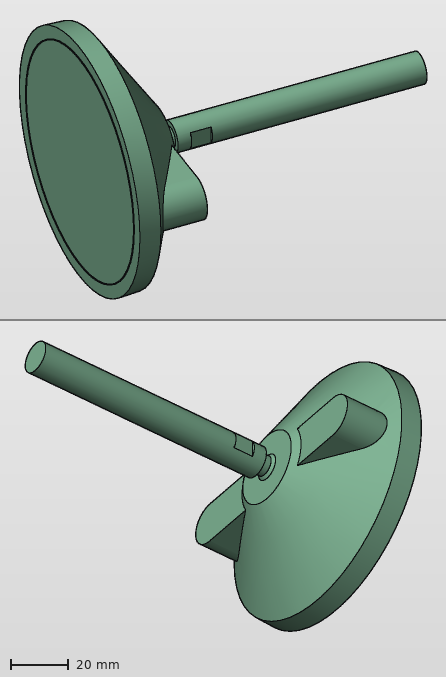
import cadquery as cq
import math

overall_length = 130.0

base_diameter = 98.0
rim_top_diameter = 97.2
rim_height = 8.2
cone_top_diameter = 28.1
base_height = 30.2

pad_diameter = 87.5
pad_groove_diameter = 88.0
pad_groove_depth = 0.3

lug_span = 88.0
lug_width = 16.6
lug_top = 28.2

ball_diameter = 12.5
ball_center = 26.4
neck_diameter = 7.8
stud_diameter = 12.0
stud_start = 34.8

flats_start = 40.0
flats_length = 7.9
across_flats = 9.9


def ball_point(angle):
    """Radius and height of the ball surface at an angle above its equator."""
    ball_radius = ball_diameter / 2
    return ball_radius * math.cos(angle), ball_center + ball_radius * math.sin(angle)


def make_turned_body():
    """Revolve the base, ball cap, neck and stud about the Y axis."""
    start_angle = math.asin((base_height - ball_center) / (ball_diameter / 2))
    end_angle = math.acos(neck_diameter / ball_diameter)
    cap_start = ball_point(start_angle)
    cap_middle = ball_point((start_angle + end_angle) / 2)
    cap_end = ball_point(end_angle)
    return (
        cq.Workplane("XY")
        .lineTo(base_diameter / 2, 0)
        .lineTo(rim_top_diameter / 2, rim_height)
        .lineTo(cone_top_diameter / 2, base_height)
        .lineTo(*cap_start)
        .threePointArc(cap_middle, cap_end)
        .lineTo(neck_diameter / 2, stud_start)
        .lineTo(stud_diameter / 2, stud_start)
        .lineTo(stud_diameter / 2, overall_length)
        .lineTo(0, overall_length)
        .close()
        .revolve(360, (0, 0, 0), (0, 1, 0))
    )


def make_lugs():
    """Round-ended bar across the cone; its two ends stand out as lugs."""
    return (
        cq.Workplane("XZ", origin=(0, rim_height, 0))
        .slot2D(lug_span, lug_width)
        .extrude(rim_height - lug_top)
    )


def make_pad_groove():
    return (
        cq.Workplane("XZ")
        .circle(pad_groove_diameter / 2)
        .circle(pad_diameter / 2)
        .extrude(-pad_groove_depth)
    )


def make_flat_cutter(side):
    """Block that removes the stud beyond one wrench flat, on the +X or -X side."""
    center_x = side * (across_flats + stud_diameter) / 2
    center_y = flats_start + flats_length / 2
    return (
        cq.Workplane("XY", origin=(center_x, center_y, 0))
        .box(stud_diameter, flats_length, stud_diameter)
    )


result = make_turned_body().union(make_lugs()).cut(make_pad_groove())
for side in (-1, 1):
    result = result.cut(make_flat_cutter(side))